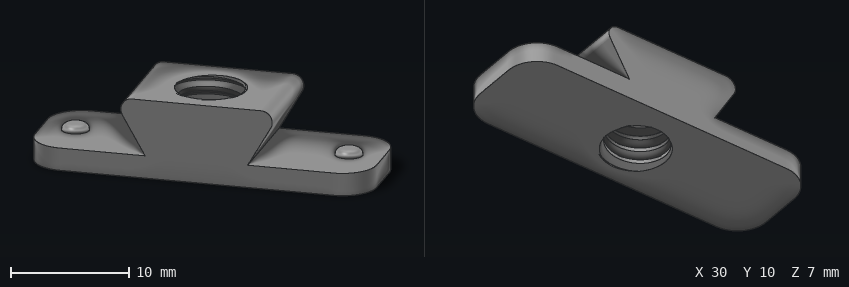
import cadquery as cq
import math

length = 30.0
width = 10.0
base_thickness = 2.0
corner_radius = 3.0

total_height = 7.0
neck_width = 9.0
flank_angle = 60.0
edge_radius = 1.0

bump_spacing = 24.0
bump_diameter = 2.4
bump_height = 0.6

minor_diameter = 5.7
major_diameter = 6.95
pitch = 1.25
root_flat = pitch / 8
thread_half_angle = 30.0
thread_start_angle = -90.0
cutter_overlap = 0.15


def make_base():
    plate = cq.Workplane("XY").box(length, width, base_thickness, centered=(True, True, False))
    return plate.edges("|Z").fillet(corner_radius)


def make_dovetail():
    flare = (total_height - base_thickness) / math.tan(math.radians(flank_angle))
    half_neck = neck_width / 2
    half_top = half_neck + flare
    block = (
        cq.Workplane("XZ")
        .moveTo(-half_neck, 0)
        .lineTo(half_neck, 0)
        .lineTo(half_neck, base_thickness)
        .lineTo(half_top, total_height)
        .lineTo(-half_top, total_height)
        .lineTo(-half_neck, base_thickness)
        .close()
        .extrude(width / 2, both=True)
    )
    return block.faces(">Z").edges("|Y").fillet(edge_radius)


def make_bump(x):
    radius = bump_diameter / 2
    flat_radius = radius - bump_height
    arc_reach = bump_height * math.sqrt(0.5)
    bump = (
        cq.Workplane("XZ")
        .lineTo(radius, 0)
        .threePointArc((flat_radius + arc_reach, arc_reach), (flat_radius, bump_height))
        .lineTo(0, bump_height)
        .close()
        .revolve(360, (0, 0, 0), (0, 1, 0))
    )
    return bump.translate((x, 0, base_thickness))


def make_thread_cutter():
    turns_below_top = math.ceil(total_height / pitch) + 1
    turns = turns_below_top + 1
    minor_radius = minor_diameter / 2
    major_radius = major_diameter / 2
    inner_radius = minor_radius - cutter_overlap
    half_root = root_flat / 2
    half_mouth = half_root + (major_radius - inner_radius) * math.tan(math.radians(thread_half_angle))
    helix = cq.Wire.makeHelix(pitch, turns * pitch, minor_radius)
    groove = (
        cq.Workplane("XZ")
        .moveTo(inner_radius, -half_mouth)
        .lineTo(major_radius, -half_root)
        .lineTo(major_radius, half_root)
        .lineTo(inner_radius, half_mouth)
        .close()
        .sweep(cq.Workplane(helix), isFrenet=True)
    )
    start_height = total_height - turns_below_top * pitch
    return groove.rotate((0, 0, 0), (0, 0, 1), thread_start_angle).translate((0, 0, start_height))


result = make_base().union(make_dovetail())
for side in (-1, 1):
    result = result.union(make_bump(side * bump_spacing / 2))
bore = cq.Workplane("XY").circle(minor_diameter / 2).extrude(total_height)
bore = bore.rotate((0, 0, 0), (0, 0, 1), thread_start_angle)
result = result.cut(make_thread_cutter()).cut(bore)